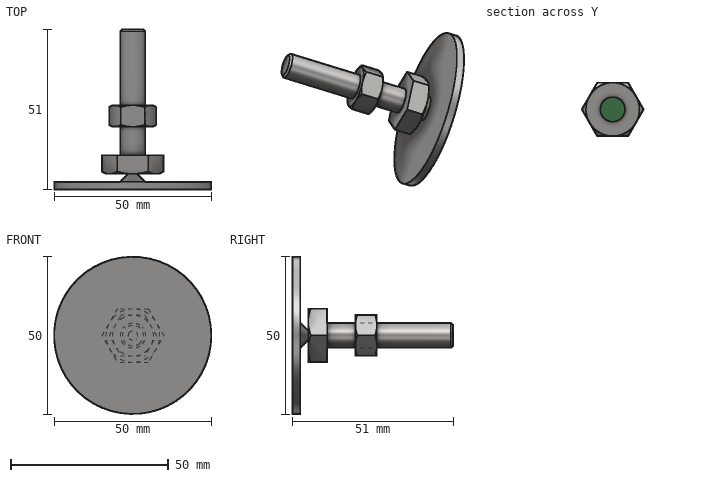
import cadquery as cq
import math


plate_diameter = 50.0
plate_thickness = 2.5

shank_diameter = 8.0
neck_length = 2.5
neck_base_diameter = shank_diameter
neck_tip_diameter = neck_base_diameter - 2 * neck_length
head_width_across_flats = 17.0
head_thickness = 6.0
shank_length = 40.0
tip_chamfer = 0.7

nut_width_across_flats = 13.0
nut_thickness = 6.8
head_to_nut_gap = 9.0

corner_chamfer_angle = 30.0

neck_tip_y = plate_thickness + neck_length
head_top_y = neck_tip_y + head_thickness
nut_bottom_y = head_top_y + head_to_nut_gap


def plane_at(y):
    """Plane facing +Y at the given station, with local X along global X."""
    return cq.Workplane(cq.Plane(origin=(0, y, 0), xDir=(1, 0, 0), normal=(0, 1, 0)))


def hexagon(y, width_across_flats, thickness, chamfer_far_end):
    """Hexagonal prism from y towards +Y, two corners on X, corners chamfered at the near end."""
    width_across_corners = width_across_flats / math.cos(math.pi / 6)
    flat_radius = width_across_flats / 2
    corner_radius = width_across_corners / 2
    chamfer_height = (corner_radius - flat_radius) * math.tan(math.radians(corner_chamfer_angle))

    prism = plane_at(y).polygon(6, width_across_corners).extrude(thickness)
    envelope_profile = cq.Workplane("XY").moveTo(0, y).lineTo(flat_radius, y)
    envelope_profile = envelope_profile.lineTo(corner_radius, y + chamfer_height)
    far_y = y + thickness
    if chamfer_far_end:
        envelope_profile = envelope_profile.lineTo(corner_radius, far_y - chamfer_height)
        envelope_profile = envelope_profile.lineTo(flat_radius, far_y)
    else:
        envelope_profile = envelope_profile.lineTo(corner_radius, far_y)
    envelope = envelope_profile.lineTo(0, far_y).close().revolve(360, (0, 0, 0), (0, 1, 0))
    return prism.intersect(envelope)


def make_foot_plate():
    """Plain round plate standing on Y = 0."""
    return plane_at(0).circle(plate_diameter / 2).extrude(plate_thickness)


def make_spindle():
    """Cone standing on the plate, hexagonal head chamfered on the plate side, and shank."""
    neck = (
        cq.Workplane("XY")
        .moveTo(0, plate_thickness)
        .lineTo(neck_base_diameter / 2, plate_thickness)
        .lineTo(neck_tip_diameter / 2, neck_tip_y)
        .lineTo(0, neck_tip_y)
        .close()
        .revolve(360, (0, 0, 0), (0, 1, 0))
    )
    head = hexagon(neck_tip_y, head_width_across_flats, head_thickness, chamfer_far_end=False)
    shank = plane_at(head_top_y).circle(shank_diameter / 2).extrude(shank_length)
    shank = shank.faces(">Y").chamfer(tip_chamfer)
    return neck.union(head).union(shank)


def make_nut():
    """Hexagonal nut, chamfered at both ends, bored to fit the shank."""
    blank = hexagon(nut_bottom_y, nut_width_across_flats, nut_thickness, chamfer_far_end=True)
    bore = plane_at(nut_bottom_y).circle(shank_diameter / 2).extrude(nut_thickness)
    return blank.cut(bore)


foot_plate = make_foot_plate()
spindle = make_spindle()
nut = make_nut()

result = cq.Compound.makeCompound([foot_plate.val(), spindle.val(), nut.val()])